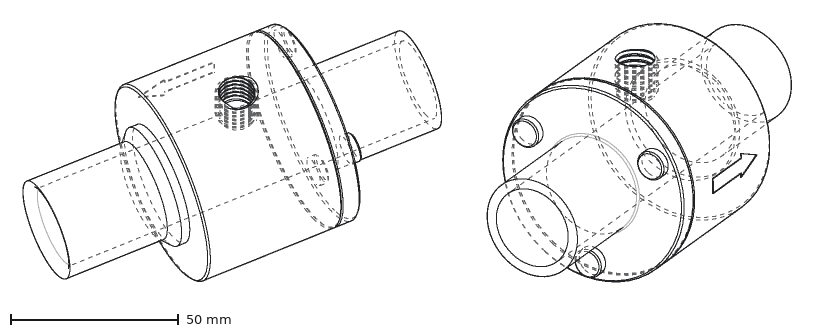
import cadquery as cq
import math


overall_length = 123.8
tube_radius = 15.7
bore_radius = 12.5
wall = tube_radius - bore_radius
front_end = -overall_length / 2
rear_end = overall_length / 2
tube_root_fillet = 0.6

body_radius = 31.6
body_front = -23.6
joint_y = 20.8
flange_rear = 27.1
edge_chamfer = 0.6
joint_chamfer = 0.4

collar_radius = 19.1
collar_edge = -26.4
collar_end = -29.5

screw_count = 3
screw_circle_radius = 25.1
screw_head_radius = 4.6
screw_head_height = 3.0
screw_head_chamfer = 0.5
first_screw_angle = 30.0

port_y = 1.5
port_depth = 12.4
port_minor_radius = 5.5
port_major_radius = 6.4
thread_pitch = 1.9
thread_start_angle = 40.0
thread_root_flat = 0.2
thread_crest_flat = 0.1
thread_overlap = 0.2
thread_runout = 2 * thread_pitch

arrow_tail = 9.7
arrow_shoulder = -6.8
arrow_tip = -15.5
arrow_shaft_half = 2.5
arrow_head_half = 4.0
arrow_depth = 0.2


def make_turned_body():
    """Revolve the half section, drawn as (radius, Y), around the Y axis."""
    mouth_mid = wall * (1 - math.sqrt(0.5))
    root_mid = tube_root_fillet * (1 - math.sqrt(0.5))
    section = (
        cq.Workplane("XY")
        .moveTo(bore_radius, front_end + wall)
        .threePointArc(
            (bore_radius + mouth_mid, front_end + mouth_mid),
            (tube_radius, front_end),
        )
        .lineTo(tube_radius, collar_end)
        .lineTo(collar_radius, collar_edge)
        .lineTo(collar_radius, body_front)
        .lineTo(body_radius - edge_chamfer, body_front)
        .lineTo(body_radius, body_front + edge_chamfer)
        .lineTo(body_radius, joint_y - joint_chamfer)
        .lineTo(body_radius - joint_chamfer, joint_y)
        .lineTo(body_radius, joint_y + joint_chamfer)
        .lineTo(body_radius, flange_rear - edge_chamfer)
        .lineTo(body_radius - edge_chamfer, flange_rear)
        .lineTo(tube_radius + tube_root_fillet, flange_rear)
        .threePointArc(
            (tube_radius + root_mid, flange_rear + root_mid),
            (tube_radius, flange_rear + tube_root_fillet),
        )
        .lineTo(tube_radius, rear_end)
        .lineTo(bore_radius, rear_end)
        .close()
    )
    return section.revolve(360, (0, 0, 0), (0, 1, 0))


def make_screw_head(angle):
    """One chamfered cylindrical screw head standing on the flange."""
    x = screw_circle_radius * math.cos(math.radians(angle))
    z = screw_circle_radius * math.sin(math.radians(angle))
    head = (
        cq.Workplane("XZ", origin=(x, flange_rear, z))
        .circle(screw_head_radius)
        .extrude(-screw_head_height)
    )
    return head.faces(">Y").chamfer(screw_head_chamfer)


def make_thread_groove():
    """Helical V groove that starts at the port floor and runs out above the body."""
    height = port_depth - thread_pitch + thread_runout
    start_z = body_radius - port_depth + thread_pitch / 2
    path = cq.Wire.makeHelix(thread_pitch, height, port_minor_radius)
    inner_radius = port_minor_radius - thread_overlap
    inner_half = (thread_pitch - thread_crest_flat) / 2
    root_half = thread_root_flat / 2
    groove = (
        cq.Workplane("XZ")
        .moveTo(inner_radius, -inner_half)
        .lineTo(port_major_radius, -root_half)
        .lineTo(port_major_radius, root_half)
        .lineTo(inner_radius, inner_half)
        .close()
        .sweep(cq.Workplane(obj=path), isFrenet=True)
    )
    groove = groove.rotate((0, 0, 0), (0, 0, 1), thread_start_angle)
    return groove.translate((0, port_y, start_z))


def make_port_hole():
    """Blind hole at the thread's minor diameter."""
    floor_z = body_radius - port_depth
    return (
        cq.Workplane("XY", origin=(0, port_y, floor_z))
        .circle(port_minor_radius)
        .extrude(port_depth + thread_runout)
    )


def make_arrow_cut():
    """Arrow-shaped layer of constant depth, wrapped on the body surface."""
    arrow = (
        cq.Workplane("YZ")
        .moveTo(arrow_tip, 0)
        .lineTo(arrow_shoulder, arrow_head_half)
        .lineTo(arrow_shoulder, arrow_shaft_half)
        .lineTo(arrow_tail, arrow_shaft_half)
        .lineTo(arrow_tail, -arrow_shaft_half)
        .lineTo(arrow_shoulder, -arrow_shaft_half)
        .lineTo(arrow_shoulder, -arrow_head_half)
        .close()
        .extrude(-2 * body_radius)
    )
    core = (
        cq.Workplane("XZ")
        .circle(body_radius - arrow_depth)
        .extrude(overall_length / 2, both=True)
    )
    return arrow.cut(core)


result = make_turned_body()
for index in range(screw_count):
    result = result.union(make_screw_head(first_screw_angle + index * 360 / screw_count))
result = result.cut(make_port_hole().union(make_thread_groove()))
result = result.cut(make_arrow_cut())